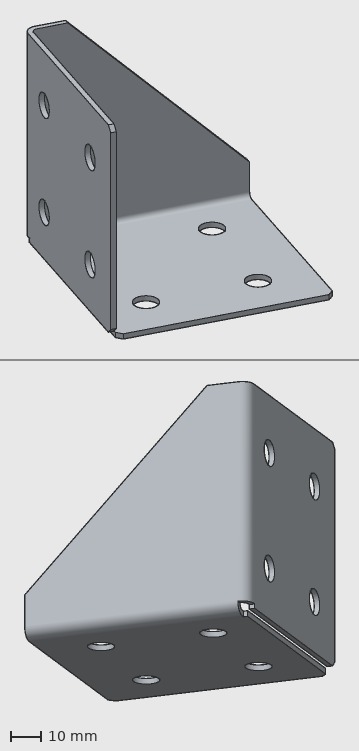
import cadquery as cq
import math

width = 76.0
height = 80.0

thickness = 2.0
inner_radius = 2.0
outer_radius = inner_radius + thickness

corner_gap = 0.5
flange_edge = thickness + corner_gap
relief_length = 1.0
relief_end = outer_radius + relief_length
corner_chamfer = 2.0

hole_diameter = 9.0
hole_spacing = 40.0
holes_per_row = 2
first_hole_x = 18.0
first_hole_z = 20.0

wall_end_width = 15.0


def make_side_wall():
    """Flat wall at X = 0, with a sloping edge from the top to the far end."""
    return (
        cq.Workplane("YZ")
        .moveTo(outer_radius, outer_radius)
        .lineTo(height, outer_radius)
        .lineTo(height, wall_end_width)
        .lineTo(wall_end_width, height)
        .lineTo(outer_radius, height)
        .close()
        .extrude(thickness)
    )


def make_bend():
    """Quarter bend joining the side wall to the front flange, running along Z."""
    mid_bend_cosine = math.cos(math.pi / 4)
    outer_middle = outer_radius - outer_radius * mid_bend_cosine
    inner_middle = outer_radius - inner_radius * mid_bend_cosine
    return (
        cq.Workplane("XY", origin=(0, 0, outer_radius))
        .moveTo(0, outer_radius)
        .threePointArc((outer_middle, outer_middle), (outer_radius, 0))
        .lineTo(outer_radius, thickness)
        .threePointArc((inner_middle, inner_middle), (thickness, outer_radius))
        .close()
        .extrude(height - outer_radius)
    )


def make_front_plate():
    """Flat part of the front flange: corner relief, two chamfered corners and holes."""
    plate = (
        cq.Workplane("XZ")
        .moveTo(outer_radius, outer_radius)
        .lineTo(relief_end, outer_radius)
        .lineTo(relief_end, flange_edge)
        .lineTo(width - corner_chamfer, flange_edge)
        .lineTo(width, flange_edge + corner_chamfer)
        .lineTo(width, height - corner_chamfer)
        .lineTo(width - corner_chamfer, height)
        .lineTo(outer_radius, height)
        .close()
        .extrude(-thickness)
    )
    hole_centers = [
        (first_hole_x + column * hole_spacing, first_hole_z + row * hole_spacing)
        for column in range(holes_per_row)
        for row in range(holes_per_row)
    ]
    holes = (
        cq.Workplane("XZ")
        .pushPoints(hole_centers)
        .circle(hole_diameter / 2)
        .extrude(-thickness)
    )
    return plate.cut(holes)


side_wall = make_side_wall()
front_flange = make_bend().union(make_front_plate())

base_flange = front_flange.mirror((0, 1, -1), (0, 0, 0))

result = side_wall.union(front_flange).union(base_flange)